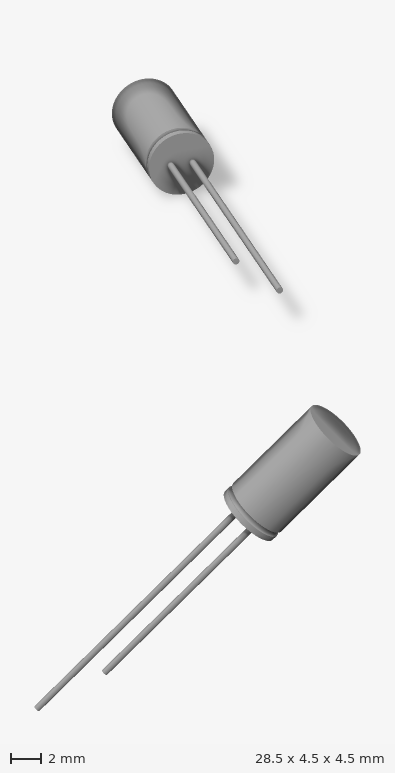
import math

import cadquery as cq

total_length = 28.5
can_diameter = 4.5
capsule_length = 8.52

groove_radius = 0.2
cap_length = 0.63

lead_diameter = 0.45
lead_spacing = 1.5
short_lead_length = 15.0

can_radius = can_diameter / 2
can_length = capsule_length - cap_length
long_lead_length = total_length - capsule_length


def make_grooved_cylinder(plain_end, grooved_end):
    """Solid cylinder along X with a quarter-round cove at its grooved end."""
    toward_plain = math.copysign(1, plain_end - grooved_end)
    cove_offset = groove_radius * math.sqrt(0.5)
    cove_start = (grooved_end + toward_plain * groove_radius, can_radius)
    cove_middle = (grooved_end + toward_plain * cove_offset, can_radius - cove_offset)
    cove_finish = (grooved_end, can_radius - groove_radius)
    profile = (
        cq.Workplane("XY")
        .moveTo(plain_end, 0)
        .lineTo(plain_end, can_radius)
        .lineTo(*cove_start)
        .threePointArc(cove_middle, cove_finish)
        .lineTo(grooved_end, 0)
        .close()
    )
    return profile.revolve(360, (0, 0, 0), (1, 0, 0))


def make_can():
    """Main can, with its plain end at X = 0."""
    return make_grooved_cylinder(0, can_length)


def make_end_cap():
    """Disc that closes the can on the lead side."""
    return make_grooved_cylinder(capsule_length, can_length)


def make_lead(side, length):
    """Round wire that butts against the end cap, on the given side of Y = 0."""
    return (
        cq.Workplane("YZ", origin=(capsule_length, side * lead_spacing / 2, 0))
        .circle(lead_diameter / 2)
        .extrude(length)
    )


can = make_can()
end_cap = make_end_cap()
leads = [make_lead(side, length) for side, length in ((-1, short_lead_length), (1, long_lead_length))]

result = cq.Compound.makeCompound([can.val(), end_cap.val(), *[lead.val() for lead in leads]])